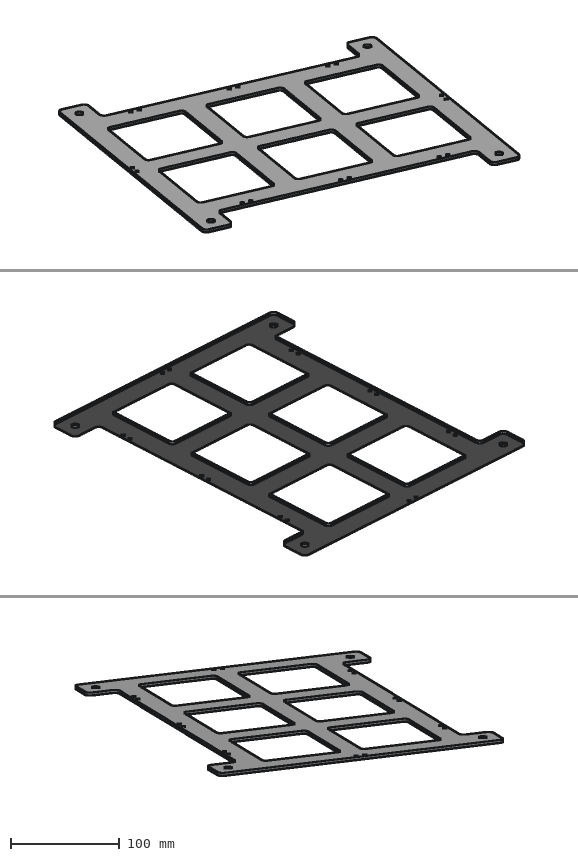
import cadquery as cq

LENGTH = 330.0
WIDTH = 286.0
THICKNESS = 3.0
NECK_WIDTH = 225.0
FOOT_LENGTH = 30.0
FOOT_RADIUS = 5.0

WINDOW_WIDTH = 78.2
WIDE_WINDOW_WIDTH = 80.5
WINDOW_LENGTH = 80.0
WINDOW_RADIUS = 4.0
COLUMN_PITCH = 100.0
ROW_PITCH = 102.5

MOUNT_DIAMETER = 7.0
MOUNT_INSET = FOOT_LENGTH / 2

PIN_DIAMETER = 3.0
PIN_SPACING = 9.0
PIN_INSET = 4.0
SIDE_PAIR_PITCH = ROW_PITCH


def make_plate():
    """Plate with four feet and all outline corners rounded."""
    notch_depth = (WIDTH - NECK_WIDTH) / 2
    notch_length = LENGTH - 2 * FOOT_LENGTH
    plate = cq.Workplane("XY").box(WIDTH, LENGTH, THICKNESS)
    for side in (-1, 1):
        notch_x = side * (WIDTH - notch_depth) / 2
        notch = cq.Workplane("XY").box(notch_depth, notch_length, THICKNESS)
        plate = plate.cut(notch.translate((notch_x, 0, 0)))
    return plate.edges("|Z").fillet(FOOT_RADIUS)


def make_window(column, row):
    """Cutter for one window; column is -1 or 1, row is -1, 0 or 1."""
    is_wide = (column, row) == (1, -1)
    width = WIDE_WINDOW_WIDTH if is_wide else WINDOW_WIDTH
    window = cq.Workplane("XY").box(width, WINDOW_LENGTH, THICKNESS)
    window = window.edges("|Z").fillet(WINDOW_RADIUS)
    return window.translate((column * COLUMN_PITCH / 2, row * ROW_PITCH, 0))


def pin_points():
    """Centres of the paired holes on the four edges."""
    points = []
    side_x = NECK_WIDTH / 2 - PIN_INSET
    end_y = LENGTH / 2 - PIN_INSET
    for side in (-1, 1):
        for offset in (-PIN_SPACING / 2, PIN_SPACING / 2):
            points.append((offset, side * end_y))
            for row in (-1, 0, 1):
                points.append((side * side_x, row * SIDE_PAIR_PITCH + offset))
    return points


result = make_plate()

for column in (-1, 1):
    for row in (-1, 0, 1):
        result = result.cut(make_window(column, row))

mount_points = [
    (x_side * (WIDTH / 2 - MOUNT_INSET), y_side * (LENGTH / 2 - MOUNT_INSET))
    for x_side in (-1, 1)
    for y_side in (-1, 1)
]
result = result.faces(">Z").workplane(origin=(0, 0, 0)).pushPoints(mount_points).hole(MOUNT_DIAMETER)
result = result.faces(">Z").workplane(origin=(0, 0, 0)).pushPoints(pin_points()).hole(PIN_DIAMETER)